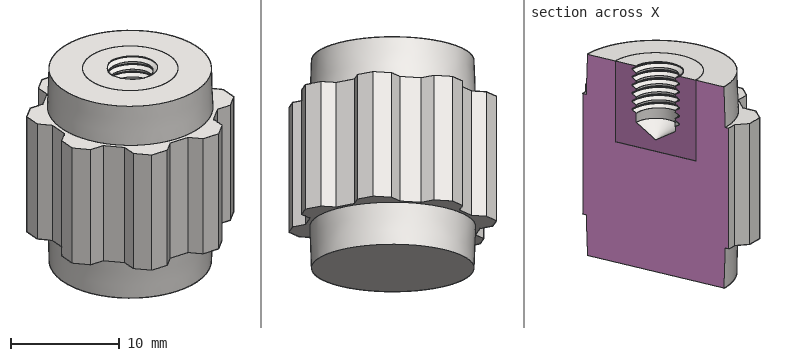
import cadquery as cq
import math

HEIGHT = 20.0
GRIP_WIDTH = 18.0
GRIP_HEIGHT = 12.0
GRIP_SIDES = 8
SPIGOT_END_RADIUS = 7.5
SPIGOT_HEIGHT = (HEIGHT - GRIP_HEIGHT) / 2
SPIGOT_DRAFT_ANGLE = 2.0
SPIGOT_ROOT_RADIUS = SPIGOT_END_RADIUS + SPIGOT_HEIGHT * math.tan(math.radians(SPIGOT_DRAFT_ANGLE))

FLUTE_DEPTH = 1.0
FLUTE_FLOOR_WIDTH = 2.0

INSERT_DIAMETER = 8.8
INSERT_LENGTH = 8.0
BORE_DIAMETER = 4.25
BORE_DEPTH = 5.6
DRILL_POINT_ANGLE = 118.0

THREAD_DIAMETER = 5.12
THREAD_PITCH = 0.8
THREAD_TURNS = 6
THREAD_CREST_WIDTH = THREAD_PITCH / 4
THREAD_ROOT_WIDTH = THREAD_PITCH / 8
CUTTER_OVERLAP = 0.05


def grip():
    """Octagonal prism with a flute cut along the middle of each side."""
    apothem = GRIP_WIDTH / 2
    half_side = apothem * math.tan(math.pi / GRIP_SIDES)
    half_floor = FLUTE_FLOOR_WIDTH / 2
    half_mouth = half_floor + FLUTE_DEPTH
    side = [
        (apothem, -half_mouth),
        (apothem - FLUTE_DEPTH, -half_floor),
        (apothem - FLUTE_DEPTH, half_floor),
        (apothem, half_mouth),
        (apothem, half_side),
    ]
    outline = []
    for index in range(GRIP_SIDES):
        angle = 2 * math.pi * index / GRIP_SIDES
        for x, y in side:
            outline.append((
                x * math.cos(angle) - y * math.sin(angle),
                x * math.sin(angle) + y * math.cos(angle),
            ))
    return (
        cq.Workplane("XY")
        .workplane(offset=SPIGOT_HEIGHT)
        .polyline(outline)
        .close()
        .extrude(GRIP_HEIGHT)
    )


def spigots():
    """Two tapered spigots, joined by a straight core that runs through the grip."""
    grip_top = HEIGHT - SPIGOT_HEIGHT
    profile = [
        (0, 0),
        (SPIGOT_END_RADIUS, 0),
        (SPIGOT_ROOT_RADIUS, SPIGOT_HEIGHT),
        (SPIGOT_ROOT_RADIUS, grip_top),
        (SPIGOT_END_RADIUS, HEIGHT),
        (0, HEIGHT),
    ]
    return cq.Workplane("XZ").polyline(profile).close().revolve(360, (0, 0), (0, 1))


def insert_blank():
    """Plain cylinder that fills the insert's seat in the housing."""
    return (
        cq.Workplane("XY")
        .workplane(offset=HEIGHT - INSERT_LENGTH)
        .circle(INSERT_DIAMETER / 2)
        .extrude(INSERT_LENGTH)
    )


def bore():
    """Blind drilled hole with a conical end."""
    radius = BORE_DIAMETER / 2
    floor = HEIGHT - BORE_DEPTH
    point_length = radius / math.tan(math.radians(DRILL_POINT_ANGLE / 2))
    profile = [
        (0, floor - point_length),
        (radius, floor),
        (radius, HEIGHT),
        (0, HEIGHT),
    ]
    return cq.Workplane("XZ").polyline(profile).close().revolve(360, (0, 0), (0, 1))


def thread_groove():
    """Right-hand helical groove whose root reaches the top face on the +Y side."""
    inner_radius = BORE_DIAMETER / 2 - CUTTER_OVERLAP
    root_radius = THREAD_DIAMETER / 2
    thread_depth = (THREAD_DIAMETER - BORE_DIAMETER) / 2
    half_root = THREAD_ROOT_WIDTH / 2
    half_mouth = (THREAD_PITCH - THREAD_CREST_WIDTH) / 2
    half_inner = half_mouth + CUTTER_OVERLAP * (half_mouth - half_root) / thread_depth

    length = THREAD_PITCH * (THREAD_TURNS + 1)
    start = HEIGHT - THREAD_PITCH * THREAD_TURNS
    helix = cq.Wire.makeHelix(THREAD_PITCH, length, inner_radius)
    profile = [
        (inner_radius, -half_inner),
        (root_radius, -half_root),
        (root_radius, half_root),
        (inner_radius, half_inner),
    ]
    groove = cq.Workplane("XZ").polyline(profile).close().sweep(cq.Workplane(helix), isFrenet=True)
    return groove.rotate((0, 0, 0), (0, 0, 1), 90).translate((0, 0, start))


def make_housing():
    """Grip and spigots in one moulding, with a blind seat for the insert."""
    return grip().union(spigots()).cut(insert_blank())


def make_insert():
    """Insert with its thread cut right-handed, then mirrored to make the thread left-handed."""
    return insert_blank().cut(bore()).cut(thread_groove()).mirror("YZ")


housing = make_housing()
threaded_insert = make_insert()

result = cq.Compound.makeCompound([housing.val(), threaded_insert.val()])